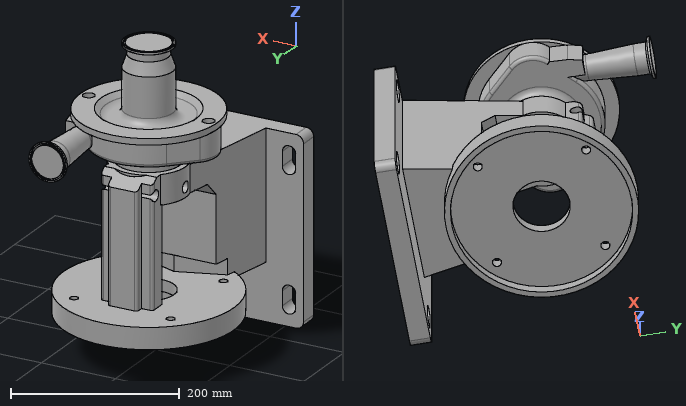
import cadquery as cq
import math


PLATE_SIZE = 250.0
PLATE_BACK = -179.7
PLATE_THICK = 25.5
PLATE_FRONT = PLATE_BACK + PLATE_THICK
PLATE_CORNER = 10.0
SLOT_SPACING_X = 210.5
SLOT_SPACING_Z = 179.7
SLOT_LENGTH = 37.0
SLOT_WIDTH = 17.7

DISC_RADIUS = 115.3
DISC_BOTTOM = 55.2
DISC_TOP = 84.2
DISC_BORE_RADIUS = 34.0
DISC_RECESS_RADIUS = 108.0
DISC_RECESS_DEPTH = 13.7
DISC_HOLE_OFFSET = 65.3
DISC_HOLE_RADIUS = 5.2

RING_RADIUS = 50.0
RING_BORE_RADIUS = 37.5
RING_BOTTOM = 213.0
RING_LIP = 3.0
RING_TOP = PLATE_SIZE + RING_LIP
RING_HOLE_RADIUS = 7.3
RING_HOLE_Z = 226.5

ARM_ROOT_HALF = 74.0
ARM_TIP_HALF = 48.0
ARM_TIP_Y = -math.sqrt(RING_RADIUS**2 - ARM_TIP_HALF**2)
ARM_BOTTOM = 77.0
ARM_INNER_Y = -62.5
ARM_CHAMFER_Y = 16.0
ARM_CHAMFER_Z = 18.0
NOTCH_DEPTH = 21.5
NOTCH_HEIGHT = 21.0
NOTCH_BACK_Y = ARM_INNER_Y - NOTCH_DEPTH
ARM_SLOPE = (ARM_ROOT_HALF - ARM_TIP_HALF) / (ARM_TIP_Y - PLATE_FRONT)
ARM_HALF_AT_NOTCH = ARM_TIP_HALF + ARM_SLOPE * (ARM_TIP_Y - NOTCH_BACK_Y)

POST_HALF = 35.5
POST_FRONT = 32.2
POST_STEP = 55.0
POST_BACK = 65.3
RIB_HALF = 20.0
POST_ROUND = 4.0
POST_BEVEL_Y = 20.0
POST_BEVEL_Z = 15.5
POST_HOLE_RADIUS = 7.3
POST_HOLE_Y = 48.0
POST_HOLE_Z = 230.0

NECK_RADIUS = 42.0
NECK_FLARE = 10.0
CASING_BOTTOM = 272.5
CASING_RADIUS = 75.5
CASING_ROUND = 4.5
FLANGE_RADIUS = 92.5
FLANGE_BOTTOM = 309.5
FLANGE_TOP = 318.0
LUG_RADIUS = 34.3
CUTWATER_Y = 63.0
CUTWATER_X = 78.0
CUTWATER_ROOT_X = 82.0
CUTWATER_ROOT_Y = 46.0

DISH_RADIUS = 64.5
DISH_CHAMFER = 7.0
DISH_DEEPEST = 11.5

SCREW_OFFSET = 81.0
SCREW_HEAD_RADIUS = 7.5
SCREW_HEAD_DEPTH = 12.0
SCREW_RADIUS = 5.0
SCREW_DEPTH = 20.0

INLET_RADIUS = 32.2
INLET_END_RADIUS = 26.0
INLET_CONE_BOTTOM = 371.5
INLET_CONE_TOP = 388.5
INLET_TOP = 403.0

OUTLET_X = 58.0
OUTLET_Z = 290.0
OUTLET_RADIUS = 19.5
OUTLET_ROOT_RADIUS = 15.7
OUTLET_ROOT_Y = 65.5
OUTLET_CONE_Y = 124.0
OUTLET_END = 144.3
OUTLET_FERRULE_RADIUS = 25.5

FERRULE_RIM = 3.0
FERRULE_TAPER = 3.0
GROOVE_WIDTH = 2.0
GROOVE_DEPTH = 1.5


def cylinder(radius, bottom, top, x=0, y=0):
    return cq.Workplane("XY", origin=(x, y, bottom)).circle(radius).extrude(top - bottom)


def cross_hole(radius, y, z, x_start, x_end):
    return cq.Workplane("YZ", origin=(x_start, y, z)).circle(radius).extrude(x_end - x_start)


def mounting_plate():
    centre = (0, PLATE_BACK, PLATE_SIZE / 2)
    plate = (
        cq.Workplane("XZ", origin=centre)
        .rect(PLATE_SIZE, PLATE_SIZE)
        .extrude(-PLATE_THICK)
        .edges("|Y")
        .fillet(PLATE_CORNER)
    )
    slots = (
        cq.Workplane("XZ", origin=centre)
        .rarray(SLOT_SPACING_X, SLOT_SPACING_Z, 2, 2)
        .slot2D(SLOT_LENGTH, SLOT_WIDTH, 90)
        .extrude(-PLATE_THICK)
    )
    return plate.cut(slots)


def motor_disc():
    disc = cylinder(DISC_RADIUS, DISC_BOTTOM, DISC_TOP)
    disc = disc.cut(cylinder(DISC_BORE_RADIUS, DISC_BOTTOM, DISC_TOP))
    disc = disc.cut(cylinder(DISC_RECESS_RADIUS, DISC_BOTTOM, DISC_BOTTOM + DISC_RECESS_DEPTH))
    for side_x in (-1, 1):
        for side_y in (-1, 1):
            x = side_x * DISC_HOLE_OFFSET
            y = side_y * DISC_HOLE_OFFSET
            disc = disc.cut(cylinder(DISC_HOLE_RADIUS, DISC_BOTTOM, DISC_TOP, x, y))
    return disc


def arm():
    plan = (
        cq.Workplane("XY", origin=(0, 0, ARM_BOTTOM))
        .moveTo(-ARM_ROOT_HALF, PLATE_FRONT)
        .lineTo(ARM_ROOT_HALF, PLATE_FRONT)
        .lineTo(ARM_TIP_HALF, ARM_TIP_Y)
        .lineTo(-ARM_TIP_HALF, ARM_TIP_Y)
        .close()
        .extrude(PLATE_SIZE - ARM_BOTTOM)
    )
    elevation = (
        cq.Workplane("YZ", origin=(-ARM_ROOT_HALF, 0, 0))
        .moveTo(PLATE_FRONT, ARM_BOTTOM)
        .lineTo(ARM_INNER_Y, ARM_BOTTOM)
        .lineTo(ARM_INNER_Y, RING_BOTTOM - ARM_CHAMFER_Z)
        .lineTo(ARM_INNER_Y + ARM_CHAMFER_Y, RING_BOTTOM)
        .lineTo(ARM_TIP_Y, RING_BOTTOM)
        .lineTo(ARM_TIP_Y, PLATE_SIZE)
        .lineTo(PLATE_FRONT, PLATE_SIZE)
        .close()
        .extrude(2 * ARM_ROOT_HALF)
    )
    body = plan.intersect(elevation)
    for side in (-1, 1):
        notch = (
            cq.Workplane("XY", origin=(0, 0, DISC_TOP))
            .moveTo(0, ARM_INNER_Y)
            .lineTo(side * ARM_HALF_AT_NOTCH, ARM_INNER_Y)
            .lineTo(side * ARM_HALF_AT_NOTCH, NOTCH_BACK_Y)
            .close()
            .extrude(NOTCH_HEIGHT)
        )
        body = body.cut(notch)
    return body


def post_block(half_width, front, back):
    height = RING_TOP - DISC_TOP
    return (
        cq.Workplane("XY", origin=(0, (front + back) / 2, DISC_TOP))
        .box(2 * half_width, back - front, height, centered=(True, True, False))
        .edges("|Z and >Y")
        .fillet(POST_ROUND)
    )


def post():
    body = post_block(POST_HALF, POST_FRONT, POST_STEP)
    body = body.union(post_block(RIB_HALF, POST_FRONT, POST_BACK))
    bevel = (
        cq.Workplane("YZ", origin=(-POST_HALF, 0, 0))
        .moveTo(POST_BACK, RING_TOP)
        .lineTo(POST_BACK - POST_BEVEL_Y, RING_TOP)
        .lineTo(POST_BACK, RING_TOP - POST_BEVEL_Z)
        .close()
        .extrude(2 * POST_HALF)
    )
    return body.cut(bevel)


def bracket():
    body = mounting_plate().union(motor_disc()).union(arm()).union(post())
    body = body.union(cylinder(RING_RADIUS, RING_BOTTOM, RING_TOP))
    body = body.cut(cylinder(RING_BORE_RADIUS, DISC_TOP, PLATE_SIZE))
    body = body.cut(cross_hole(RING_HOLE_RADIUS, 0, RING_HOLE_Z, -RING_RADIUS, 0))
    return body.cut(cross_hole(POST_HOLE_RADIUS, POST_HOLE_Y, POST_HOLE_Z, -POST_HALF, POST_HALF))


def casing():
    diagonal = math.sqrt(0.5)
    lug_centre = FLANGE_RADIUS - LUG_RADIUS
    wall = CASING_RADIUS * diagonal
    lug_x = lug_centre + LUG_RADIUS * diagonal
    lug_y = LUG_RADIUS * diagonal
    height = FLANGE_BOTTOM - CASING_BOTTOM
    base = cq.Workplane("XY", origin=(0, 0, CASING_BOTTOM))
    body = (
        base.moveTo(-wall, wall)
        .threePointArc((0, CASING_RADIUS), (wall, wall))
        .lineTo(lug_x, lug_y)
        .threePointArc((FLANGE_RADIUS, 0), (lug_x, -lug_y))
        .lineTo(wall, -wall)
        .threePointArc((0, -CASING_RADIUS), (-wall, -wall))
        .lineTo(-lug_x, -lug_y)
        .threePointArc((-FLANGE_RADIUS, 0), (-lug_x, lug_y))
        .close()
        .extrude(height)
        .faces("<Z")
        .edges()
        .fillet(CASING_ROUND)
    )
    cutwater = (
        base.moveTo(OUTLET_X, CUTWATER_Y)
        .lineTo(CUTWATER_X, CUTWATER_Y)
        .lineTo(CUTWATER_ROOT_X, CUTWATER_ROOT_Y)
        .lineTo(lug_x, lug_y)
        .lineTo(lug_centre, 0)
        .close()
        .extrude(height)
    )
    return body.union(cutwater)


def neck():
    flare_radius = NECK_RADIUS + NECK_FLARE
    flare_bottom = CASING_BOTTOM - NECK_FLARE
    bend = NECK_FLARE * (1 - math.sqrt(0.5))
    return (
        cq.Workplane("XZ")
        .moveTo(0, PLATE_SIZE)
        .lineTo(NECK_RADIUS, PLATE_SIZE)
        .lineTo(NECK_RADIUS, flare_bottom)
        .threePointArc((NECK_RADIUS + bend, CASING_BOTTOM - bend), (flare_radius, CASING_BOTTOM))
        .lineTo(0, CASING_BOTTOM)
        .close()
        .revolve()
    )


def dish():
    floor_radius = DISH_RADIUS - DISH_CHAMFER
    middle = (INLET_RADIUS + floor_radius) / 2
    return (
        cq.Workplane("XZ")
        .moveTo(INLET_RADIUS, FLANGE_TOP)
        .threePointArc((middle, FLANGE_TOP - DISH_DEEPEST), (floor_radius, FLANGE_TOP - DISH_CHAMFER))
        .lineTo(DISH_RADIUS, FLANGE_TOP)
        .close()
        .revolve(360, (0, 0, 0), (0, 1, 0))
    )


def screw_hole(x):
    head_floor = FLANGE_TOP - SCREW_HEAD_DEPTH
    bottom = FLANGE_TOP - SCREW_DEPTH
    return (
        cq.Workplane("XZ", origin=(x, 0, 0))
        .moveTo(0, FLANGE_TOP)
        .lineTo(SCREW_HEAD_RADIUS, FLANGE_TOP)
        .lineTo(SCREW_HEAD_RADIUS, head_floor)
        .lineTo(SCREW_RADIUS, head_floor)
        .lineTo(SCREW_RADIUS, bottom)
        .lineTo(0, bottom - SCREW_RADIUS)
        .close()
        .revolve(360, (0, 0, 0), (0, 1, 0))
    )


def turned_pipe(root, cone_start, cone_end, end, root_radius, end_radius, rim_radius):
    """Pipe along Z with a cone, a straight end and a clamp ferrule with a gasket groove."""
    rim_start = end - FERRULE_RIM
    body = (
        cq.Workplane("XZ")
        .moveTo(0, root)
        .lineTo(root_radius, root)
        .lineTo(root_radius, cone_start)
        .lineTo(end_radius, cone_end)
        .lineTo(end_radius, rim_start - FERRULE_TAPER)
        .lineTo(rim_radius, rim_start)
        .lineTo(rim_radius, end)
        .lineTo(0, end)
        .close()
        .revolve()
    )
    groove_middle = (end_radius + rim_radius) / 2
    groove = (
        cq.Workplane("XY", origin=(0, 0, end - GROOVE_DEPTH))
        .circle(groove_middle + GROOVE_WIDTH / 2)
        .circle(groove_middle - GROOVE_WIDTH / 2)
        .extrude(GROOVE_DEPTH)
    )
    return body.cut(groove)


def inlet():
    return turned_pipe(
        CASING_BOTTOM, INLET_CONE_BOTTOM, INLET_CONE_TOP, INLET_TOP,
        INLET_RADIUS, INLET_END_RADIUS, INLET_RADIUS,
    )


def outlet():
    pipe = turned_pipe(
        0, OUTLET_ROOT_Y, OUTLET_CONE_Y, OUTLET_END,
        OUTLET_ROOT_RADIUS, OUTLET_RADIUS, OUTLET_FERRULE_RADIUS,
    )
    return pipe.rotate((0, 0, 0), (1, 0, 0), -90).translate((OUTLET_X, 0, OUTLET_Z))


def pump():
    body = casing().union(cylinder(FLANGE_RADIUS, FLANGE_BOTTOM, FLANGE_TOP))
    body = body.cut(dish())
    for x in (-SCREW_OFFSET, SCREW_OFFSET):
        body = body.cut(screw_hole(x))
    return body.union(neck()).union(inlet()).union(outlet())


result = bracket().union(pump())